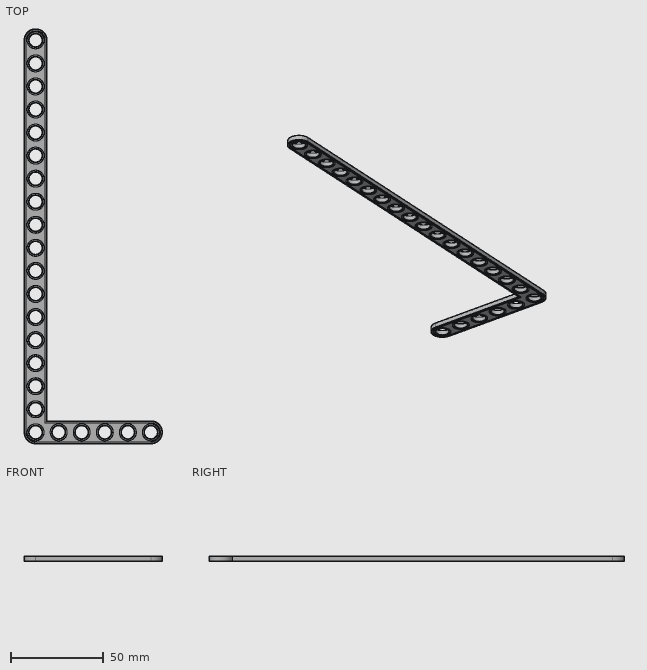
import cadquery as cq

pitch = 12.5
thickness = pitch / 4
long_arm_holes = 18
short_arm_holes = 6
hole_diameter = 7.0
boss_diameter = 9.2
edge_chamfer = 0.3
pocket_depth = 0.2

rim_width = (boss_diameter - hole_diameter) / 2
long_arm_span = (long_arm_holes - 1) * pitch
short_arm_span = (short_arm_holes - 1) * pitch
hole_centres = [(i * pitch, 0) for i in range(short_arm_holes)]
hole_centres += [(0, i * pitch) for i in range(1, long_arm_holes)]


def arm(span, width, height):
    """Round-ended bar along X from the corner hole centre, resting on Z = 0."""
    return cq.Workplane("XY").center(span / 2, 0).slot2D(span + width, width).extrude(height)


def l_shape(width, height):
    """L of two round-ended arms sharing the corner at the origin, resting on Z = 0."""
    short_arm = arm(short_arm_span, width, height)
    long_arm = arm(long_arm_span, width, height).rotate((0, 0, 0), (0, 0, 1), 90)
    return short_arm.union(long_arm).clean()


def cylinders(diameter, height):
    """One cylinder on every hole centre, resting on Z = 0."""
    return cq.Workplane("XY").pushPoints(hole_centres).circle(diameter / 2).extrude(height)


def drilled_plate():
    """L plate with all holes, chamfered along the outline and the hole mouths."""
    plate = l_shape(pitch, thickness).cut(cylinders(hole_diameter, thickness))
    return plate.faces("|Z").edges().chamfer(edge_chamfer)


def pocket():
    """Recess inside the outline rim that leaves a ring round every hole."""
    inner_width = pitch - 2 * rim_width
    return l_shape(inner_width, pocket_depth).cut(cylinders(boss_diameter, pocket_depth))


result = drilled_plate()
for pocket_bottom in (0, thickness - pocket_depth):
    result = result.cut(pocket().translate((0, 0, pocket_bottom)))